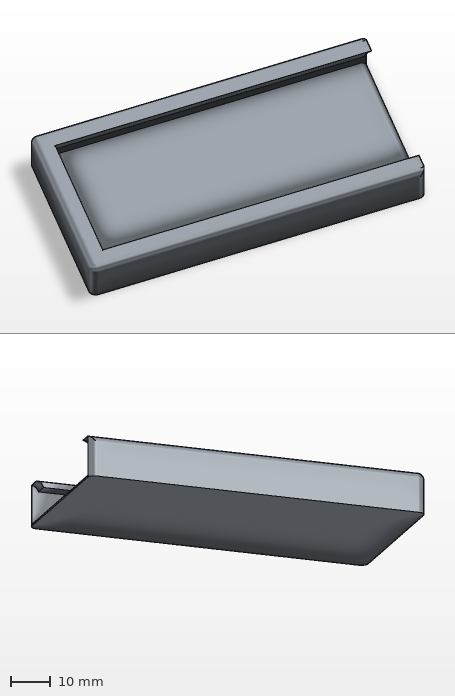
import cadquery as cq

width = 44.8
length = 89.4
height = 10.8

edge_radius = 1.9
mouth_arc_radius = 2.0

wall = 1.5
mouth_lip = 0.045
window_width = 34.3
window_front_margin = 5.0

front_y = -length / 2
back_y = length / 2


def make_block():
    """Plain block with the full outer size, standing on Z = 0."""
    return cq.Workplane("XY").box(width, length, height, centered=(True, True, False))


def make_envelope():
    """Outer shape: rounded upright edges, and rounded top edges on the sides and front."""
    rounded_top = make_block().edges("|Z and <Y").fillet(edge_radius)
    rounded_top = rounded_top.faces(">Z").edges("not >Y").fillet(edge_radius)
    rounded_corners = make_block().edges("|Z").fillet(edge_radius)
    return rounded_top.intersect(rounded_corners)


def make_cavity():
    """Cavity whose floor rounds down, and whose ceiling curves up, to thin edges at the open end."""
    ceiling = height - wall
    inner_front = front_y + wall
    mouth_start = back_y - edge_radius
    return (
        cq.Workplane("YZ")
        .moveTo(inner_front, wall)
        .lineTo(mouth_start, wall)
        .radiusArc((back_y, mouth_lip), mouth_arc_radius)
        .lineTo(back_y, height - mouth_lip)
        .radiusArc((mouth_start, ceiling), -mouth_arc_radius)
        .lineTo(inner_front, ceiling)
        .close()
        .extrude(width / 2 - wall, both=True)
    )


def make_window():
    """Opening in the top wall that runs out through the open end."""
    return cq.Workplane("XY", origin=(0, front_y + window_front_margin, height / 2)).box(
        window_width,
        length - window_front_margin,
        height / 2,
        centered=(True, False, False),
    )


result = make_envelope().cut(make_cavity()).cut(make_window())